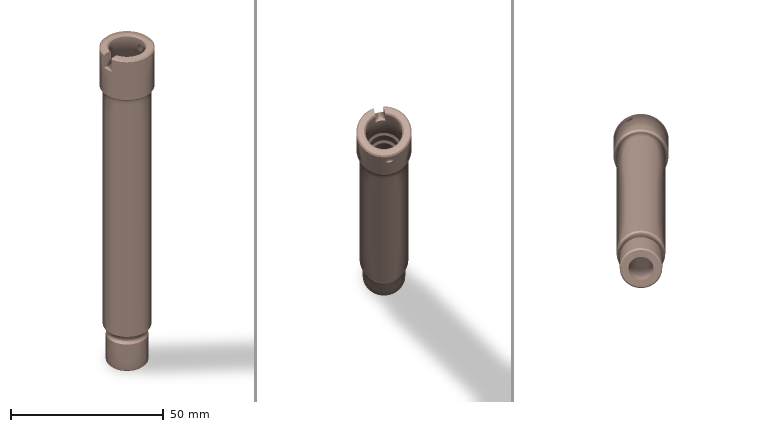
import cadquery as cq
import math

TOTAL_LENGTH = 124.5
HEAD_HEIGHT = 16.0
SPIGOT_LENGTH = 14.0
SPIGOT_CHAMFER = 0.5
HEAD_CHAMFER = 0.5

HEAD_DIAMETER = 18.15
BODY_DIAMETER = 16.0
SPIGOT_DIAMETER = 14.0
NECK_DIAMETER = 11.8

NECK_LENGTH = 1.1
NECK_FILLET = 0.8
FLANK_ANGLE = 50.0
BODY_CHAMFER = 0.5

BORE_DIAMETER = 8.2
SEAT_DIAMETER = 10.3
SEAT_DEPTH = 20.0
SOCKET_DIAMETER = 12.2
SOCKET_DEPTH = HEAD_HEIGHT
SOCKET_CHAMFER = 0.5

SLOT_WIDTH = 3.3
SLOT_DEPTH = 5.25
PIN_HOLE_DIAMETER = 2.5
PIN_HOLE_DROP = 3.9


def make_outside():
    """Revolve the stepped outside profile about Z."""
    head_r = HEAD_DIAMETER / 2
    body_r = BODY_DIAMETER / 2
    spigot_r = SPIGOT_DIAMETER / 2
    neck_r = NECK_DIAMETER / 2
    head_z = TOTAL_LENGTH - HEAD_HEIGHT
    neck_top = SPIGOT_LENGTH - NECK_FILLET
    neck_bottom = neck_top - NECK_LENGTH
    flank = math.radians(FLANK_ANGLE)
    tangent_r = neck_r + NECK_FILLET * (1 - math.cos(flank))
    tangent_z = neck_bottom - NECK_FILLET * math.sin(flank)
    flank_end_z = tangent_z - (spigot_r - tangent_r) / math.tan(flank)
    profile = (
        cq.Workplane("XZ")
        .moveTo(0, 0)
        .lineTo(spigot_r - SPIGOT_CHAMFER, 0)
        .lineTo(spigot_r, SPIGOT_CHAMFER)
        .lineTo(spigot_r, flank_end_z)
        .lineTo(tangent_r, tangent_z)
        .radiusArc((neck_r, neck_bottom), NECK_FILLET)
        .lineTo(neck_r, neck_top)
        .radiusArc((neck_r + NECK_FILLET, SPIGOT_LENGTH), NECK_FILLET)
        .lineTo(body_r - BODY_CHAMFER, SPIGOT_LENGTH)
        .lineTo(body_r, SPIGOT_LENGTH + BODY_CHAMFER)
        .lineTo(body_r, head_z)
        .lineTo(head_r - HEAD_CHAMFER, head_z)
        .lineTo(head_r, head_z + HEAD_CHAMFER)
        .lineTo(head_r, TOTAL_LENGTH - HEAD_CHAMFER)
        .lineTo(head_r - HEAD_CHAMFER, TOTAL_LENGTH)
        .lineTo(0, TOTAL_LENGTH)
        .close()
    )
    return profile.revolve(360, (0, 0, 0), (0, 1, 0))


def make_bore():
    """Through bore with a wider seat and a chamfered socket at the head end."""
    bore_r = BORE_DIAMETER / 2
    seat_r = SEAT_DIAMETER / 2
    socket_r = SOCKET_DIAMETER / 2
    seat_z = TOTAL_LENGTH - SEAT_DEPTH
    socket_z = TOTAL_LENGTH - SOCKET_DEPTH
    profile = (
        cq.Workplane("XZ")
        .moveTo(0, 0)
        .lineTo(bore_r, 0)
        .lineTo(bore_r, seat_z)
        .lineTo(seat_r, seat_z)
        .lineTo(seat_r, socket_z)
        .lineTo(socket_r, socket_z)
        .lineTo(socket_r, TOTAL_LENGTH - SOCKET_CHAMFER)
        .lineTo(socket_r + SOCKET_CHAMFER, TOTAL_LENGTH)
        .lineTo(0, TOTAL_LENGTH)
        .close()
    )
    return profile.revolve(360, (0, 0, 0), (0, 1, 0))


def make_slot():
    """Open-topped slot through the -Y wall of the head."""
    slot_floor = TOTAL_LENGTH - SLOT_DEPTH
    return (
        cq.Workplane("XY", origin=(0, 0, slot_floor))
        .rect(SLOT_WIDTH, HEAD_DIAMETER)
        .extrude(SLOT_DEPTH)
        .translate((0, -HEAD_DIAMETER / 2, 0))
    )


def make_pin_hole():
    """Round hole along Y through both walls of the head."""
    hole_z = TOTAL_LENGTH - PIN_HOLE_DROP
    return (
        cq.Workplane("XZ", origin=(0, 0, hole_z))
        .circle(PIN_HOLE_DIAMETER / 2)
        .extrude(HEAD_DIAMETER, both=True)
    )


result = make_outside().cut(make_bore()).cut(make_slot()).cut(make_pin_hole())